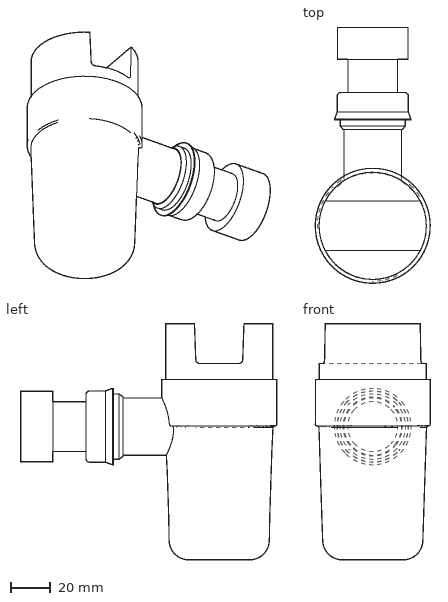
import cadquery as cq

total_height = 119.0
total_depth = 129.0

collar_radius = 29.0
plug_radius = 27.0
plug_height = 28.0
collar_height = 22.5
collar_edge_radius = 1.0
collar_neck_radius = 0.8
cup_top_radius = 27.15
cup_base_radius = 25.0
cup_base_fillet = 10.0

collar_top = total_height - plug_height
collar_edge_top = collar_top - collar_height
collar_bottom = collar_edge_top - collar_edge_radius
cup_top = collar_bottom - collar_neck_radius

slot_depth = 20.0
slot_top_width = 24.8
slot_floor_width = 23.4
slot_corner_radius = 2.0
slot_floor = total_height - slot_depth

outlet_height = 67.2
outlet_radius = 14.5
bead_radius = 16.5
bead_start = 48.4
bead_nose_radius = 14.9
bead_chamfer_length = 2.0
nut_radius = 18.0
nut_start = 53.3
nut_end = 67.2
nut_edge_radius = 2.0
flare_radius = 19.3
flare_length = 4.1
flare_rim = 0.5
tail_radius = 12.6
flange_radius = 17.85
flange_length = 16.2
outlet_end = total_depth - collar_radius


def make_cup():
    """Drafted cup with a rounded base, a filleted collar and a plug."""
    profile = (
        cq.Workplane("XZ")
        .lineTo(cup_base_radius, 0)
        .lineTo(cup_top_radius, cup_top)
        .radiusArc((cup_top_radius + collar_neck_radius, collar_bottom), collar_neck_radius)
        .lineTo(collar_radius - collar_edge_radius, collar_bottom)
        .radiusArc((collar_radius, collar_edge_top), -collar_edge_radius)
        .lineTo(collar_radius, collar_top)
        .lineTo(plug_radius, collar_top)
        .lineTo(plug_radius, total_height)
        .lineTo(0, total_height)
        .close()
    )
    cup = profile.revolve(360, (0, 0, 0), (0, 1, 0))
    return cup.faces("<Z").edges().fillet(cup_base_fillet)


def make_slot():
    """Drafted channel along X with rounded floor corners."""
    slot_length = 2 * collar_radius
    channel = (
        cq.Workplane("YZ", origin=(-slot_length / 2, 0, 0))
        .moveTo(-slot_floor_width / 2, slot_floor)
        .lineTo(slot_floor_width / 2, slot_floor)
        .lineTo(slot_top_width / 2, total_height)
        .lineTo(-slot_top_width / 2, total_height)
        .close()
        .extrude(slot_length)
    )
    return channel.faces("<Z").edges("|X").fillet(slot_corner_radius)


def make_outlet():
    """Side pipe with a chamfered bead, flared nut, tail pipe and end flange."""
    flange_start = outlet_end - flange_length
    rim_end = nut_start + flare_rim
    profile = (
        cq.Workplane("XY", origin=(0, 0, outlet_height))
        .lineTo(outlet_radius, 0)
        .lineTo(outlet_radius, bead_start)
        .lineTo(bead_nose_radius, bead_start)
        .lineTo(bead_radius, bead_start + bead_chamfer_length)
        .lineTo(bead_radius, nut_start)
        .lineTo(flare_radius, nut_start)
        .lineTo(flare_radius, rim_end)
        .lineTo(nut_radius, nut_start + flare_length)
        .lineTo(nut_radius, nut_end - nut_edge_radius)
        .radiusArc((nut_radius - nut_edge_radius, nut_end), -nut_edge_radius)
        .lineTo(tail_radius, nut_end)
        .lineTo(tail_radius, flange_start)
        .lineTo(flange_radius, flange_start)
        .lineTo(flange_radius, outlet_end)
        .lineTo(0, outlet_end)
        .close()
    )
    return profile.revolve(360, (0, 0, 0), (0, 1, 0))


result = make_cup().union(make_outlet()).cut(make_slot())